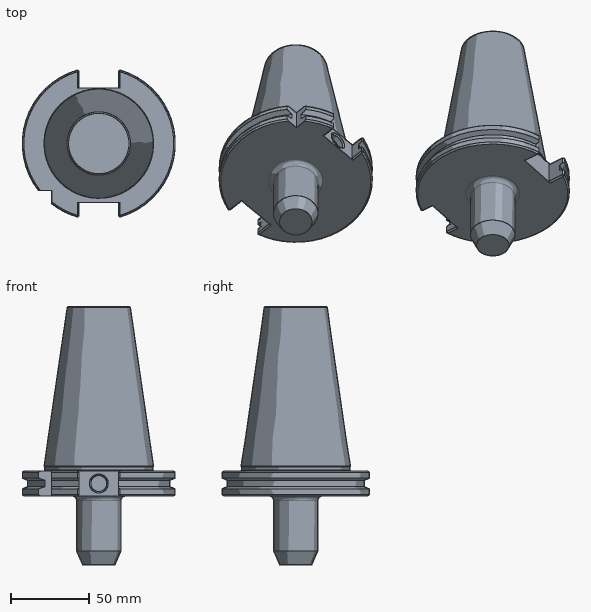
import cadquery as cq

TOTAL_LENGTH = 164.8

GAUGE_DIAMETER = 69.9
TAPER_LENGTH = 101.8
TAPER_RATIO = 7 / 24
TAPER_END_CHAMFER = 0.8

NECK_DIAMETER = 69.2
NECK_STEP_HEIGHT = 0.5

FLANGE_DIAMETER = 97.5
FLANGE_TOP = -3.1
FLANGE_THICKNESS = 16.0
FLANGE_CHAMFER = 1.0

GROOVE_DEPTH = 3.3
GROOVE_FLOOR_WIDTH = 4.0
GROOVE_MOUTH_WIDTH = 7.0

SLOT_WIDTH = 25.2
FRONT_SLOT_FLOOR = 37.7
BACK_SLOT_FLOOR = 35.5

NOTCH_OFFSET = 30.0

HOLE_DIAMETER = 10.2
COUNTERSINK_DIAMETER = 12.0
HOLE_DEPTH = 4.5

SHANK_DIAMETER = 28.3
SHANK_FILLET = 3.0
SHANK_TIP_DIAMETER = 20.6
SHANK_TIP_LENGTH = 8.9

TOLERANCE = 0.02

FLANGE_RADIUS = FLANGE_DIAMETER / 2
FLANGE_BOTTOM = FLANGE_TOP - FLANGE_THICKNESS
FLANGE_MIDDLE = FLANGE_TOP - FLANGE_THICKNESS / 2
SHANK_END = TAPER_LENGTH - TOTAL_LENGTH


def revolve_profile(points):
    """Turn a closed outline of (radius, height) points around the Z axis."""
    return cq.Workplane("XZ").polyline(points).close().revolve(360, (0, 0, 0), (0, 1, 0))


def make_taper_and_neck():
    gauge_radius = GAUGE_DIAMETER / 2
    neck_radius = NECK_DIAMETER / 2
    end_radius = (GAUGE_DIAMETER - TAPER_RATIO * TAPER_LENGTH) / 2
    body = revolve_profile([
        (0, FLANGE_MIDDLE),
        (gauge_radius, FLANGE_MIDDLE),
        (gauge_radius, FLANGE_TOP),
        (neck_radius, FLANGE_TOP + NECK_STEP_HEIGHT),
        (neck_radius, -NECK_STEP_HEIGHT),
        (gauge_radius, 0),
        (end_radius, TAPER_LENGTH),
        (0, TAPER_LENGTH),
    ])
    return body.faces(">Z").edges().chamfer(TAPER_END_CHAMFER)


def cut_slot(flange, side, floor):
    """Cut a drive slot through the flange on the -Y (side = -1) or +Y (side = 1) side."""
    slot = (
        cq.Workplane("XY", origin=(0, side * (floor + FLANGE_RADIUS / 2), FLANGE_MIDDLE))
        .box(SLOT_WIDTH, FLANGE_RADIUS, 2 * FLANGE_THICKNESS)
    )
    return flange.cut(slot)


def make_flange():
    flange = cq.Workplane("XY", origin=(0, 0, FLANGE_BOTTOM)).circle(FLANGE_RADIUS).extrude(FLANGE_THICKNESS)
    flange = cut_slot(flange, -1, FRONT_SLOT_FLOOR)
    flange = cut_slot(flange, 1, BACK_SLOT_FLOOR)

    floors = (-FRONT_SLOT_FLOOR, BACK_SLOT_FLOOR)
    broken_edges = (
        flange.faces("|X or |Z").edges("%CIRCLE or |Y or |Z")
        .filter(lambda edge: all(abs(edge.Center().y - floor) > TOLERANCE for floor in floors))
    )
    return broken_edges.chamfer(FLANGE_CHAMFER)


def make_groove():
    floor_radius = FLANGE_RADIUS - GROOVE_DEPTH
    flank_rise = (GROOVE_MOUTH_WIDTH - GROOVE_FLOOR_WIDTH) / 2
    outer_radius = FLANGE_RADIUS + GROOVE_DEPTH
    outer_half_width = GROOVE_MOUTH_WIDTH / 2 + flank_rise
    return revolve_profile([
        (floor_radius, FLANGE_MIDDLE - GROOVE_FLOOR_WIDTH / 2),
        (outer_radius, FLANGE_MIDDLE - outer_half_width),
        (outer_radius, FLANGE_MIDDLE + outer_half_width),
        (floor_radius, FLANGE_MIDDLE + GROOVE_FLOOR_WIDTH / 2),
    ])


def make_notch():
    center = -NOTCH_OFFSET - FLANGE_RADIUS / 2
    return (
        cq.Workplane("XY", origin=(center, center, FLANGE_MIDDLE))
        .box(FLANGE_RADIUS, FLANGE_RADIUS, 2 * FLANGE_THICKNESS)
    )


def make_shank():
    shank_radius = SHANK_DIAMETER / 2
    return (
        cq.Workplane("XZ")
        .moveTo(0, SHANK_END)
        .lineTo(SHANK_TIP_DIAMETER / 2, SHANK_END)
        .lineTo(shank_radius, SHANK_END + SHANK_TIP_LENGTH)
        .lineTo(shank_radius, FLANGE_BOTTOM - SHANK_FILLET)
        .radiusArc((shank_radius + SHANK_FILLET, FLANGE_BOTTOM), SHANK_FILLET)
        .lineTo(shank_radius + SHANK_FILLET, FLANGE_MIDDLE)
        .lineTo(0, FLANGE_MIDDLE)
        .close()
        .revolve(360, (0, 0, 0), (0, 1, 0))
    )


def drill_hole(body):
    countersink = (COUNTERSINK_DIAMETER - HOLE_DIAMETER) / 2
    hole = (
        cq.Workplane("XZ", origin=(0, -FRONT_SLOT_FLOOR, FLANGE_MIDDLE))
        .circle(HOLE_DIAMETER / 2)
        .extrude(-HOLE_DEPTH)
    )
    cone = cq.Solid.makeCone(
        COUNTERSINK_DIAMETER / 2,
        HOLE_DIAMETER / 2,
        countersink,
        cq.Vector(0, -FRONT_SLOT_FLOOR, FLANGE_MIDDLE),
        cq.Vector(0, 1, 0),
    )
    return body.cut(hole).cut(cq.Workplane(cone))


flange = make_flange().cut(make_groove()).cut(make_notch())
body = flange.union(make_taper_and_neck()).union(make_shank())
result = drill_hole(body)